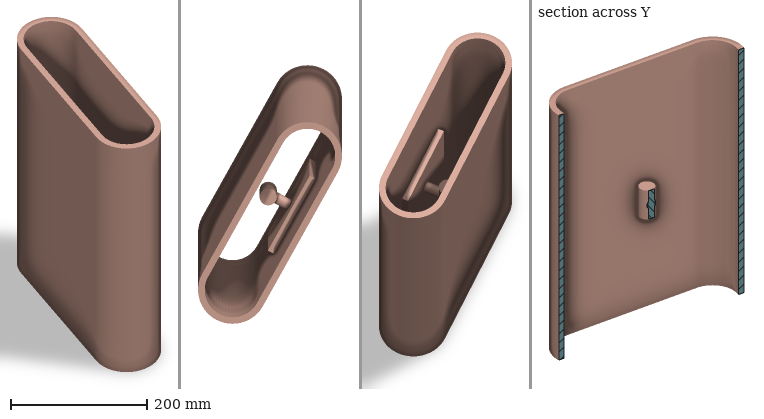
import cadquery as cq

housing_length = 330.5
housing_depth = 101.5
housing_height = 428.5
wall = 10.0

plate_width = 128.0
plate_thickness = 9.5
plate_height = 128.0

arm_diameter = 16.3
post_diameter = 25.3
post_height = 50.5
post_y = -3.0

mount_z = housing_height / 2
post_bottom_z = mount_z - post_height / 2
plate_back_y = housing_depth / 2 - wall
plate_front_y = plate_back_y - plate_thickness


def make_housing():
    """Stadium tube, open at both ends."""
    outer = cq.Workplane("XY").slot2D(housing_length, housing_depth).extrude(housing_height)
    opening = (
        cq.Workplane("XY")
        .slot2D(housing_length - 2 * wall, housing_depth - 2 * wall)
        .extrude(housing_height)
    )
    return outer.cut(opening)


def make_plate():
    """Flat plate lying against the rear wall."""
    return cq.Workplane("XY").box(plate_width, plate_thickness, plate_height).translate(
        (0, plate_back_y - plate_thickness / 2, mount_z)
    )


def make_post():
    """Solid upright post."""
    return (
        cq.Workplane("XY", origin=(0, post_y, post_bottom_z))
        .circle(post_diameter / 2)
        .extrude(post_height)
    )


def make_arm(post):
    """Round arm along Y, its front end hollowed to fit the side of the post."""
    bar = (
        cq.Workplane("XZ", origin=(0, plate_front_y, mount_z))
        .circle(arm_diameter / 2)
        .extrude(plate_front_y - post_y)
    )
    return bar.cut(post)


housing = make_housing()
plate = make_plate()
post = make_post()
arm = make_arm(post)

result = cq.Compound.makeCompound([housing.val(), plate.val(), arm.val(), post.val()])